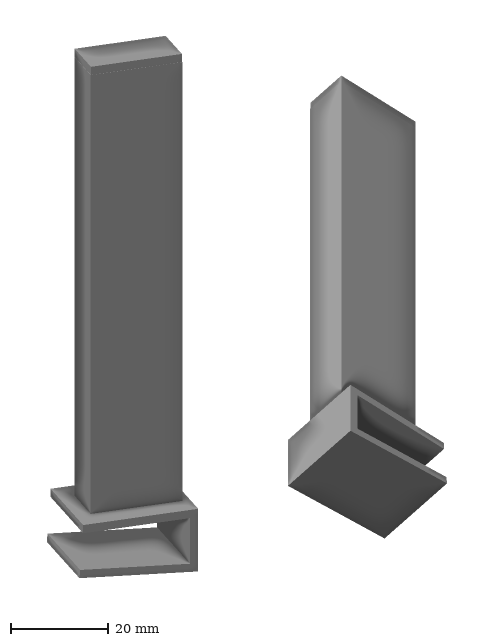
import cadquery as cq
import math

TOTAL_HEIGHT = 114.0
CLIP_WIDTH = 20.0
CLIP_HEIGHT = 14.0
SHEET = 1.8

UPPER_ARM_LENGTH = 25.1
LOWER_ARM_LENGTH = 26.0
LOWER_ARM_ANGLE = math.radians(5)

POST_WIDTH = 10.0
POST_DEPTH = 20.0
POST_BACK_GAP = 1.7
CAP_INSET = 0.06

POST_CENTER_Y = -POST_BACK_GAP - POST_DEPTH / 2
POST_HEIGHT = TOTAL_HEIGHT - CLIP_HEIGHT - SHEET


def make_clip():
    """Bent C-shaped clip, open toward -Y, with its lower arm rising to the tip."""
    slope = math.tan(LOWER_ARM_ANGLE)
    tip_y = -LOWER_ARM_LENGTH * math.cos(LOWER_ARM_ANGLE)
    tip_z = LOWER_ARM_LENGTH * math.sin(LOWER_ARM_ANGLE)
    tip_top_y = tip_y + SHEET * math.sin(LOWER_ARM_ANGLE)
    tip_top_z = tip_z + SHEET * math.cos(LOWER_ARM_ANGLE)
    inner_corner_z = tip_top_z - slope * (-SHEET - tip_top_y)
    upper_arm_bottom = CLIP_HEIGHT - SHEET
    return (
        cq.Workplane("YZ")
        .moveTo(0, 0)
        .lineTo(0, CLIP_HEIGHT)
        .lineTo(-UPPER_ARM_LENGTH, CLIP_HEIGHT)
        .lineTo(-UPPER_ARM_LENGTH, upper_arm_bottom)
        .lineTo(-SHEET, upper_arm_bottom)
        .lineTo(-SHEET, inner_corner_z)
        .lineTo(tip_top_y, tip_top_z)
        .lineTo(tip_y, tip_z)
        .close()
        .extrude(CLIP_WIDTH / 2, both=True)
    )


def make_block(width, depth, height, bottom_z):
    """Upright block centered on the post axis."""
    return (
        cq.Workplane("XY", origin=(0, POST_CENTER_Y, bottom_z))
        .rect(width, depth)
        .extrude(height)
    )


def make_holder():
    """Clip with the post standing on its upper arm, in one piece."""
    post = make_block(POST_WIDTH, POST_DEPTH, POST_HEIGHT, CLIP_HEIGHT)
    return make_clip().union(post).solids()


def make_cap():
    """Flat cap resting on the post, slightly smaller all round."""
    width = POST_WIDTH - 2 * CAP_INSET
    depth = POST_DEPTH - 2 * CAP_INSET
    return make_block(width, depth, SHEET, CLIP_HEIGHT + POST_HEIGHT)


holder = make_holder()
cap = make_cap()

result = cq.Compound.makeCompound([holder.val(), cap.val()])